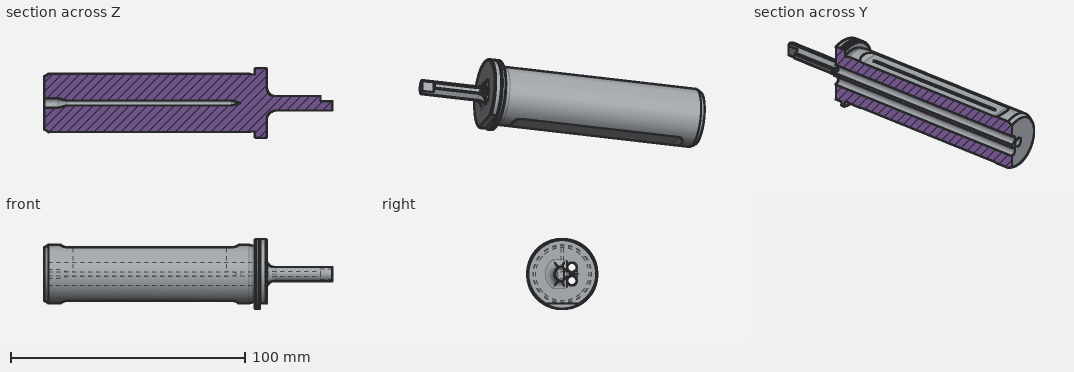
import cadquery as cq
import math

BODY_END = 87.5
NECK_START = 88.7
FLANGE_START = 89.8
FLANGE_SPLIT = 92.0
FLANGE_END = 95.0
STEM_STEP = 118.0
TOTAL_LENGTH = 123.0

BODY_RADIUS = 12.5
NECK_RADIUS = 12.2
LEAD_CHAMFER_LENGTH = 2.0
LEAD_CHAMFER_DEPTH = LEAD_CHAMFER_LENGTH * math.tan(math.radians(30))
FLANGE_RADIUS = 15.0
FLANGE_CHAMFER = 0.5
SPLIT_GROOVE_DEPTH = 0.25
FLANGE_FLAT_Z = -BODY_RADIUS

WINDOW_CENTRE = 45.0
WINDOW_LENGTH = 70.5
FLAT_DEPTH = 1.0
FLAT_RUNOUT_RADIUS = 4.5
SLOT_LENGTH = 65.5
SLOT_WIDTH = 1.0

HOLE_DIAMETER = 4.0
THROUGH_HOLE_DISTANCE = 5.0
THROUGH_HOLE_ANGLE = 34.5
BORE_ENTRY_DEPTH = 6.0
INNER_BORE_DIAMETER = 2.0
INNER_BORE_END = 80.0
BORE_CONE_ANGLE = 30.0

STEM_RADIUS = 3.25
STEM_FLARE_RADIUS = 4.0
STEM_TIP_CHAMFER = 0.25
FLAT_START_Y = -1.0
FLAT_OFFSET = math.sqrt(STEM_RADIUS**2 - FLAT_START_Y**2)
FLAT_FILLET = 3.0
LEDGE_START_Y = 2.0
LEDGE_Z = FLAT_OFFSET - LEDGE_START_Y
STEP_Y = 0.85

SELECTION_MARGIN = 0.1


def box_between(x_range, y_range, z_range):
    """Box spanning the given (low, high) ranges."""
    ranges = (x_range, y_range, z_range)
    sizes = [high - low for low, high in ranges]
    corner = tuple(low for low, high in ranges)
    return cq.Workplane("XY").box(*sizes, centered=False).translate(corner)


def revolved_about_x(profile):
    """Revolve a closed profile, drawn in the XY plane, about the X axis."""
    return profile.close().revolve(360, (0, 0, 0), (1, 0, 0))


def make_body():
    """Turned handle, neck and flange, with the flange trimmed flat below."""
    groove_radius = FLANGE_RADIUS - SPLIT_GROOVE_DEPTH
    body = revolved_about_x(
        cq.Workplane("XY")
        .moveTo(0, 0)
        .lineTo(0, BODY_RADIUS - LEAD_CHAMFER_DEPTH)
        .lineTo(LEAD_CHAMFER_LENGTH, BODY_RADIUS)
        .lineTo(BODY_END, BODY_RADIUS)
        .lineTo(NECK_START, NECK_RADIUS)
        .lineTo(FLANGE_START, NECK_RADIUS)
        .lineTo(FLANGE_START, FLANGE_RADIUS - FLANGE_CHAMFER)
        .lineTo(FLANGE_START + FLANGE_CHAMFER, FLANGE_RADIUS)
        .lineTo(FLANGE_SPLIT - FLANGE_CHAMFER, FLANGE_RADIUS)
        .lineTo(FLANGE_SPLIT, groove_radius)
        .lineTo(FLANGE_SPLIT + SPLIT_GROOVE_DEPTH, FLANGE_RADIUS)
        .lineTo(FLANGE_END - FLANGE_CHAMFER, FLANGE_RADIUS)
        .lineTo(FLANGE_END, FLANGE_RADIUS - FLANGE_CHAMFER)
        .lineTo(FLANGE_END, 0)
    )
    below_flat = box_between(
        (FLANGE_SPLIT, FLANGE_END),
        (-FLANGE_RADIUS, FLANGE_RADIUS),
        (-FLANGE_RADIUS, FLANGE_FLAT_Z),
    )
    return body.cut(below_flat)


def make_flat_cutter():
    """Cutter for the top body flat, with a concave run-out at each end."""
    floor_z = BODY_RADIUS - FLAT_DEPTH
    cutter_length = WINDOW_LENGTH + 2 * FLAT_RUNOUT_RADIUS
    cutter_height = FLAT_RUNOUT_RADIUS + FLAT_DEPTH
    return (
        cq.Workplane("XY")
        .box(cutter_length, 2 * BODY_RADIUS, cutter_height, centered=(True, True, False))
        .edges("|Y and <Z")
        .fillet(FLAT_RUNOUT_RADIUS)
        .translate((WINDOW_CENTRE, 0, floor_z))
    )


def make_slot_cutter():
    """Slot from the top flat down into the central bore."""
    return (
        cq.Workplane("XY")
        .center(WINDOW_CENTRE, 0)
        .slot2D(SLOT_LENGTH, SLOT_WIDTH)
        .extrude(BODY_RADIUS)
    )


def make_central_bore():
    """Stepped blind bore with a conical shoulder and a conical end."""
    entry_radius = HOLE_DIAMETER / 2
    inner_radius = INNER_BORE_DIAMETER / 2
    cone_slope = math.tan(math.radians(BORE_CONE_ANGLE / 2))
    shoulder_length = (entry_radius - inner_radius) / cone_slope
    return revolved_about_x(
        cq.Workplane("XY")
        .moveTo(0, 0)
        .lineTo(0, entry_radius)
        .lineTo(BORE_ENTRY_DEPTH, entry_radius)
        .lineTo(BORE_ENTRY_DEPTH + shoulder_length, inner_radius)
        .lineTo(INNER_BORE_END, inner_radius)
        .lineTo(INNER_BORE_END + inner_radius / cone_slope, 0)
    )


def make_through_holes():
    """Pair of holes beside the stem, one above and one below the XY plane."""
    angle = math.radians(THROUGH_HOLE_ANGLE)
    y = THROUGH_HOLE_DISTANCE * math.cos(angle)
    z = THROUGH_HOLE_DISTANCE * math.sin(angle)
    return (
        cq.Workplane("YZ")
        .pushPoints([(y, z), (y, -z)])
        .circle(HOLE_DIAMETER / 2)
        .extrude(TOTAL_LENGTH)
    )


def make_round_stem():
    """Round stem flaring into the flange."""
    flare_end = FLANGE_END + STEM_FLARE_RADIUS
    flare_outer = STEM_RADIUS + STEM_FLARE_RADIUS
    arc_offset = STEM_FLARE_RADIUS * (1 - math.sqrt(0.5))
    return revolved_about_x(
        cq.Workplane("XY")
        .moveTo(FLANGE_SPLIT, 0)
        .lineTo(FLANGE_SPLIT, flare_outer)
        .lineTo(FLANGE_END, flare_outer)
        .threePointArc((FLANGE_END + arc_offset, STEM_RADIUS + arc_offset), (flare_end, STEM_RADIUS))
        .lineTo(TOTAL_LENGTH - STEM_TIP_CHAMFER, STEM_RADIUS)
        .lineTo(TOTAL_LENGTH, STEM_RADIUS - STEM_TIP_CHAMFER)
        .lineTo(TOTAL_LENGTH, 0)
    )


def prism_on_flange(outline):
    """Prism rising from the flange, its foot filleted into the flange face."""
    side = FLANGE_RADIUS
    base = box_between((FLANGE_SPLIT, FLANGE_END), (-side, side), (-side, side))
    prism = (
        cq.Workplane("YZ", origin=(FLANGE_END, 0, 0))
        .polyline(outline)
        .close()
        .extrude(TOTAL_LENGTH - FLANGE_END)
    )
    half_foot = FLAT_OFFSET + SELECTION_MARGIN
    foot_edges = cq.selectors.BoxSelector(
        (FLANGE_END - SELECTION_MARGIN, -side, -half_foot),
        (FLANGE_END + SELECTION_MARGIN, half_foot, half_foot),
    )
    return base.union(prism).edges(foot_edges).fillet(FLAT_FILLET)


def make_stem_envelope():
    """Flat-sided envelope of the stem: a 45 degree wedge carrying a ledge on its +Y side."""
    side = FLANGE_RADIUS
    wedge = prism_on_flange(
        [
            (-side, FLAT_OFFSET),
            (0, FLAT_OFFSET),
            (FLAT_OFFSET, 0),
            (0, -FLAT_OFFSET),
            (-side, -FLAT_OFFSET),
        ]
    )
    slab = prism_on_flange(
        [
            (-side, FLAT_OFFSET),
            (FLAT_OFFSET, FLAT_OFFSET),
            (FLAT_OFFSET, -FLAT_OFFSET),
            (-side, -FLAT_OFFSET),
        ]
    )
    x_range = (FLANGE_END, TOTAL_LENGTH)
    ledge = slab.intersect(box_between(x_range, (0, side), (-LEDGE_Z, LEDGE_Z)))
    for z_range in ((LEDGE_Z, side), (-side, -LEDGE_Z)):
        wedge = wedge.cut(box_between(x_range, (LEDGE_START_Y, side), z_range))
    return wedge.union(ledge)


def make_stem():
    """Stem with its flats, shortened on the +Y side to leave a step at the tip."""
    tip_step = box_between(
        (STEM_STEP, TOTAL_LENGTH),
        (STEP_Y, FLANGE_RADIUS),
        (-FLANGE_RADIUS, FLANGE_RADIUS),
    )
    return make_round_stem().intersect(make_stem_envelope()).cut(tip_step)


top_flat = make_flat_cutter()
bottom_flat = top_flat.mirror("XY")

result = (
    make_body()
    .cut(top_flat)
    .cut(bottom_flat)
    .union(make_stem())
    .cut(make_central_bore())
    .cut(make_slot_cutter())
    .cut(make_through_holes())
)